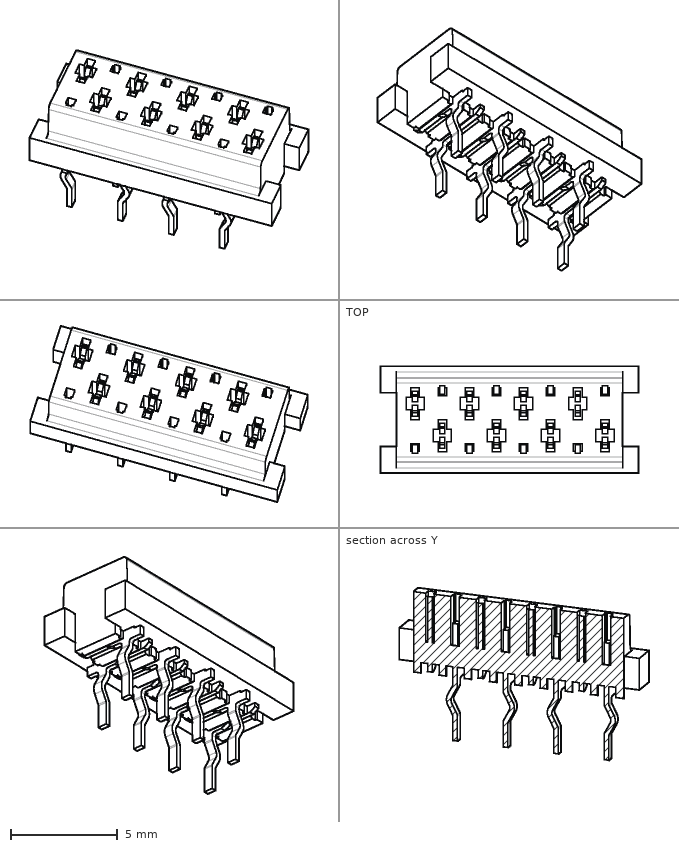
import cadquery as cq
import math

DIAGONAL = math.sqrt(0.5)

body_length = 10.59
body_height = 4.0
core_width = 2.5
top_width = 3.46
draft = 0.05
top_radius = 0.22
root_radius = 0.25

rail_length = 12.09
rail_outer_width = 2 * core_width
rail_bottom = 0.51
rail_top = 2.08

contact_count = 8
pitch = 1.27
row_offset = 0.02
leg_y = pitch
strip_thickness = 0.25

recess_width = 0.91
recess_depth = 0.12
lead_in = 0.12

socket_y = -0.75
socket_slot_width = 0.4
socket_slot_length = 1.5
socket_cross_width = 0.86
socket_cross_length = 0.58
socket_depth = 2.42
window_inner_y = 1.12
window_outer_y = 1.49
window_notch_y = 1.58
window_depth = 2.42

prong_top = body_height - 0.15
fork_gap = 0.17
fork_mouth = 0.68
mouth_depth = 0.36
prong_flat = 0.08
prong_outer = 0.58
prong_drop = 0.3
post_top = 2.66
post_inner_y = 1.18

foot_end = 2.18
foot_bottom = -0.07
foot_top = 0.41
foot_neck = 1.79
foot_inner = 0.47
strip_rise_end = 0.06
strip_bottom = 0.11
tail_end = 1.62
tail_corner_z = 0.31
tail_start = 1.3
tail_bulge = 0.018
neck_radius = 0.06
leg_width = 0.48
leg_radius = 0.15
leg_tip = -3.14
embed = 0.12

kink_z = -1.15
kink_reach = 0.33
kink_radius = 0.57
bend_radius = 0.15
edge_tolerance = 0.001
kink_angle = math.radians(28)


def box(x_size, y_min, y_max, z_min, z_max):
    """Box centred in X, between the given Y and Z limits."""
    return (
        cq.Workplane("XY")
        .box(x_size, y_max - y_min, z_max - z_min, centered=(True, False, False))
        .translate((0, y_min, z_min))
    )


def housing():
    """Drafted body with flared roots, and a rail along each side."""
    shoulder = top_width / 2 + top_radius
    wall_foot = shoulder + draft
    upper = (
        cq.Workplane("YZ")
        .moveTo(0, rail_top)
        .lineTo(wall_foot + root_radius, rail_top)
        .threePointArc(
            (wall_foot + root_radius * (1 - DIAGONAL), rail_top + root_radius * (1 - DIAGONAL)),
            (wall_foot, rail_top + root_radius),
        )
        .lineTo(shoulder, body_height - top_radius)
        .threePointArc(
            (shoulder - top_radius * (1 - DIAGONAL), body_height - top_radius * (1 - DIAGONAL)),
            (top_width / 2, body_height),
        )
        .lineTo(0, body_height)
        .close()
        .extrude(body_length / 2, both=True)
    )
    body = upper.union(upper.mirror("XZ"))
    body = body.union(box(body_length, -core_width / 2, core_width / 2, 0, rail_top))
    for side in (-1, 1):
        inner, outer = side * core_width / 2, side * rail_outer_width / 2
        body = body.union(box(rail_length, min(inner, outer), max(inner, outer), rail_bottom, rail_top))
    return body


def underside_cutter():
    """Side recesses and the chamfered groove around one contact strip."""
    half = core_width / 2
    recesses = box(recess_width, half - recess_depth, half, 0, rail_bottom)
    recesses = recesses.union(recesses.mirror("XZ"))
    mouth = strip_thickness / 2 + lead_in
    groove = (
        cq.Workplane("XZ")
        .polyline([
            (-mouth, 0),
            (mouth, 0),
            (strip_thickness / 2, lead_in),
            (-strip_thickness / 2, lead_in),
        ])
        .close()
        .extrude(half, both=True)
    )
    return recesses.union(groove)


def top_cutter():
    """Cross-shaped socket and test window of one contact, leg side towards +Y."""
    socket_floor = body_height - socket_depth
    half_slot = socket_slot_length / 2
    half_cross = socket_cross_length / 2
    slot = box(socket_slot_width, socket_y - half_slot, socket_y + half_slot, socket_floor, body_height)
    cross = box(socket_cross_width, socket_y - half_cross, socket_y + half_cross, socket_floor, body_height)
    window_floor = body_height - window_depth
    window = box(socket_slot_width, window_inner_y, window_outer_y, window_floor, body_height)
    notch = box(strip_thickness, window_inner_y, window_notch_y, window_floor, body_height)
    return slot.union(cross).union(window).union(notch)


def strip(outline):
    """Give a closed YZ outline the thickness of the contact metal."""
    return outline.close().extrude(strip_thickness / 2, both=True)


def fork():
    """Two prongs with a tapered mouth, and the post under the test window."""
    base = body_height - socket_depth - embed
    gap = fork_gap / 2
    mouth = fork_mouth / 2
    crown_end = mouth + prong_flat
    prong = strip(
        cq.Workplane("YZ")
        .moveTo(gap, base)
        .lineTo(gap, prong_top - mouth_depth)
        .lineTo(mouth, prong_top)
        .lineTo(crown_end, prong_top)
        .threePointArc(
            (crown_end + DIAGONAL * (prong_outer - crown_end), prong_top - (1 - DIAGONAL) * prong_drop),
            (prong_outer, prong_top - prong_drop),
        )
        .lineTo(prong_outer, base)
    )
    prongs = prong.union(prong.mirror("XZ")).translate((0, socket_y, 0))
    post = box(strip_thickness, post_inner_y, window_notch_y, base, post_top)
    return prongs.union(post)


def foot_and_tail():
    """Exposed strip under the housing, from the foot to the curved tail."""
    inside = rail_bottom + embed
    outline = (
        cq.Workplane("YZ")
        .moveTo(foot_end, foot_bottom)
        .lineTo(foot_end, foot_top)
        .lineTo(foot_neck + neck_radius, foot_top)
        .threePointArc(
            (foot_neck + neck_radius * (1 - DIAGONAL), foot_top + neck_radius * (1 - DIAGONAL)),
            (foot_neck, foot_top + neck_radius),
        )
        .lineTo(foot_neck, inside)
        .lineTo(-tail_end, inside)
        .lineTo(-tail_end, tail_corner_z)
        .sagittaArc((-tail_start, strip_bottom), -tail_bulge)
        .lineTo(strip_rise_end, strip_bottom)
        .lineTo(foot_inner, foot_bottom)
    )
    return strip(outline)


def leg(kink_side):
    """Solder leg whose kink points to +X or -X, with flared corners under the foot."""
    half = strip_thickness / 2
    bend_x = half + kink_reach - kink_radius
    inner_radius = kink_radius - strip_thickness
    root = foot_bottom + embed

    def kink_points(radius, edge_x):
        """Tangent offset, apex and straight-run offset of one edge of the kink."""
        tangent_x = bend_x + radius * math.cos(kink_angle)
        tangent_dz = radius * math.sin(kink_angle)
        straight_dz = tangent_dz + (tangent_x - edge_x) / math.tan(kink_angle)
        return tangent_x, tangent_dz, bend_x + radius, straight_dz

    def is_bend(line):
        """True for a blade edge where a straight run meets the kink."""
        center = line.Center()
        on_straight_face = abs(abs(center.x) - half) < edge_tolerance
        return on_straight_face and leg_tip + bend_radius < center.z < foot_bottom

    out_x, out_dz, out_apex, out_run = kink_points(kink_radius, half)
    in_x, in_dz, in_apex, in_run = kink_points(inner_radius, -half)
    blade = (
        cq.Workplane("XZ")
        .moveTo(half, root)
        .lineTo(half, kink_z + out_run)
        .lineTo(out_x, kink_z + out_dz)
        .threePointArc((out_apex, kink_z), (out_x, kink_z - out_dz))
        .lineTo(half, kink_z - out_run)
        .lineTo(half, leg_tip)
        .lineTo(-half, leg_tip)
        .lineTo(-half, kink_z - in_run)
        .lineTo(in_x, kink_z - in_dz)
        .threePointArc((in_apex, kink_z), (in_x, kink_z + in_dz))
        .lineTo(-half, kink_z + in_run)
        .lineTo(-half, root)
        .close()
        .extrude(leg_width / 2, both=True)
    )
    blade = blade.edges("|Y").filter(is_bend).fillet(bend_radius)
    if kink_side < 0:
        blade = blade.mirror("YZ")
    edge = leg_width / 2
    inset = leg_radius * (1 - DIAGONAL)
    flare = strip(
        cq.Workplane("YZ")
        .moveTo(0, foot_bottom)
        .lineTo(edge + leg_radius, foot_bottom)
        .threePointArc((edge + inset, foot_bottom - inset), (edge, foot_bottom - leg_radius))
        .lineTo(0, foot_bottom - leg_radius)
    )
    return blade.union(flare).union(flare.mirror("XZ")).translate((0, leg_y, 0))


def placed(shape, index):
    """Move a shape to its contact position; even positions have the leg at -Y."""
    if index % 2 == 0:
        shape = shape.mirror("XZ")
    return shape.translate(((index - (contact_count - 1) / 2) * pitch + row_offset, 0, 0))


result = housing()
for index in range(contact_count):
    result = result.cut(placed(underside_cutter().union(top_cutter()), index))

for index in range(contact_count):
    kink_side = 1 if index % 4 >= 2 else -1
    metal = fork().union(foot_and_tail()).union(leg(kink_side))
    result = result.union(placed(metal, index))